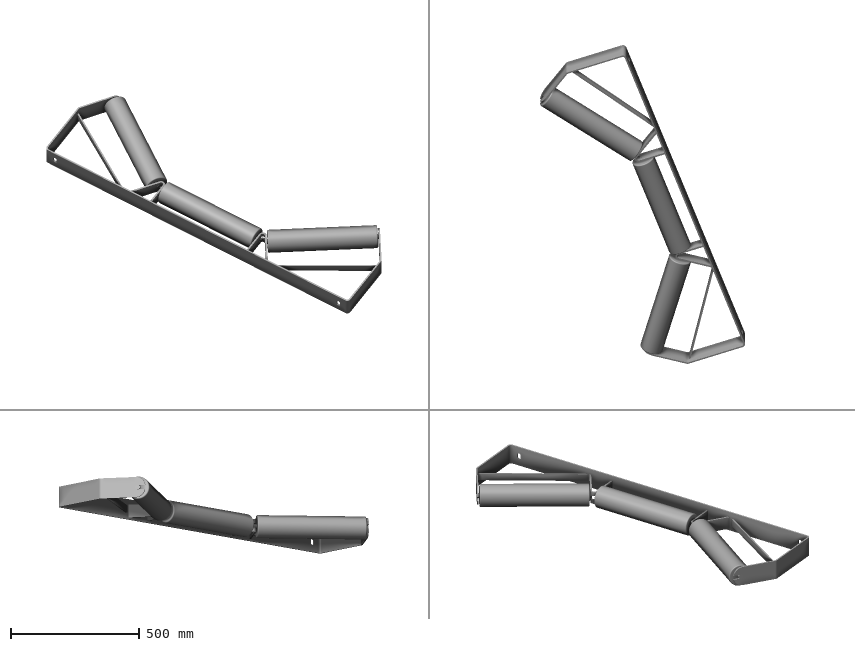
import cadquery as cq
import math

frame_length = 1400.0
strip_height = 80.0
strip_thickness = 6.0
bend_inner_radius = 8.0

bracket_height = 50.0
bracket_thickness = 7.0

trough_angle = 35.0
side_corner_y = 241.0
axle_distance_on_wall = 148.0
wall_past_axle = 31.0
bracket_foot_x = -322.0
bracket_leg_x = -223.0
middle_axle_y = 100.0

roller_diameter = 90.0
roller_length = 428.0
roller_edge_radius = 4.0
axle_diameter = 20.0
axle_flat_width = 17.0
middle_axle_z = -7.0
side_roller_z = -3.9
side_roller_tilt = 0.8
slot_overrun = 21.0
slot_reach = 84.0

mount_slot_x = 654.0
mount_slot_width = 17.0
mount_slot_length = 25.0

brace_thickness = 6.0
brace_height = 30.0
brace_z = 0.0
brace_top_y = 231.0
brace_foot_x = -339.0

half_thickness = strip_thickness / 2
side_x = -frame_length / 2 + half_thickness
base_y = half_thickness
side_inner_x = side_x + half_thickness
base_inner_y = strip_thickness

slope = math.radians(trough_angle)
axis_dir = cq.Vector(math.cos(slope), -math.sin(slope), 0)
wall_dir = cq.Vector(math.sin(slope), math.cos(slope), 0)

side_corner = cq.Vector(side_x, side_corner_y, 0)
wall_axle_point = side_corner + wall_dir * axle_distance_on_wall
wall_end = wall_axle_point + wall_dir * wall_past_axle
wall_round_center = wall_end - wall_dir * (strip_height / 2)

bracket_foot = cq.Vector(bracket_foot_x, base_inner_y, 0)
bracket_apex = bracket_foot + wall_dir * ((bracket_leg_x - bracket_foot_x) / math.sin(slope))

side_wall_gap = (bracket_foot - wall_axle_point).dot(axis_dir)
side_roller_center = wall_axle_point + axis_dir * (side_wall_gap / 2) + cq.Vector(0, 0, side_roller_z)
side_axle_length = side_wall_gap + bracket_thickness

middle_roller_center = cq.Vector(0, middle_axle_y, middle_axle_z)
middle_axle_length = -2 * bracket_leg_x + bracket_thickness


def mirrored(body):
    """Copy of a body on the other side of the YZ plane."""
    return body.mirror("YZ")


def bent_strip(corners, height, thickness):
    """Upright strip bent along a line of mid-plane corners."""
    path = cq.Wire.makePolygon(corners).fillet(bend_inner_radius + thickness / 2)
    section = cq.Plane(origin=corners[0], xDir=(0, 0, 1), normal=corners[1] - corners[0])
    return (cq.Workplane(section).rect(height, thickness)
            .sweep(cq.Workplane(obj=path)))


def cylinder_along_x(diameter, length):
    """Cylinder centred on the origin with its axis along X."""
    return cq.Workplane("ZY", origin=(length / 2, 0, 0)).circle(diameter / 2).extrude(length)


def flatted_axle(length):
    """Axle along X, with flats facing +Z and -Z."""
    round_bar = cylinder_along_x(axle_diameter, length)
    return round_bar.intersect(cq.Workplane().box(length, axle_diameter, axle_flat_width))


def axle_slot(axle_length):
    """Cutter for open slots that hold both ends of an axle, opening towards +Y."""
    length = axle_length + 2 * slot_overrun
    opening = cq.Workplane().box(length, slot_reach, axle_flat_width, centered=(True, False, True))
    return flatted_axle(length).union(opening)


def roller(axle_length):
    """Roller along X with an axle stub at each end."""
    shell = (cylinder_along_x(roller_diameter, roller_length)
             .edges().fillet(roller_edge_radius))
    return shell.union(flatted_axle(axle_length))


def on_left_side(body):
    """Move a body built along X into the place of the left roller."""
    return (body.rotate((0, 0, 0), (0, 1, 0), side_roller_tilt)
            .rotate((0, 0, 0), (0, 0, 1), -trough_angle)
            .translate(side_roller_center))


def base_volume():
    """Block filled by the base and the space behind it."""
    return cq.Workplane().box(frame_length, strip_height, strip_height).translate(
        (0, base_inner_y - strip_height / 2, 0))


left_slots = on_left_side(axle_slot(side_axle_length))
middle_slots = axle_slot(middle_axle_length).translate(middle_roller_center)


def wall_end_corners():
    """Cutter that leaves the left end wall with a full-round end."""
    wall_plane = cq.Plane(origin=wall_round_center, xDir=wall_dir, normal=axis_dir)
    end_block = cq.Workplane(wall_plane).box(strip_height, 2 * strip_height, 2 * strip_thickness,
                                             centered=(False, True, True))
    round_end = cq.Workplane(wall_plane).circle(strip_height / 2).extrude(strip_thickness, both=True)
    return end_block.cut(round_end)


def mount_slots():
    """Upright slots through the base near both ends."""
    return (cq.Workplane("XZ").pushPoints([(-mount_slot_x, 0), (mount_slot_x, 0)])
            .slot2D(mount_slot_length, mount_slot_width, 90)
            .extrude(2 * strip_thickness, both=True))


left_corners = [wall_end, side_corner, cq.Vector(side_x, base_y, 0)]
right_corners = [cq.Vector(-corner.x, corner.y, 0) for corner in reversed(left_corners)]
frame = bent_strip(left_corners + right_corners, strip_height, strip_thickness)
frame = frame.cut(wall_end_corners()).cut(mirrored(wall_end_corners()))
frame = frame.cut(mount_slots()).cut(left_slots).cut(mirrored(left_slots))


def left_bracket():
    """Bent strip standing on the base, slotted for the side and middle axles."""
    buried_foot = bracket_foot - wall_dir * bracket_thickness
    corners = [buried_foot, bracket_apex, cq.Vector(bracket_leg_x, base_inner_y, 0)]
    strip = bent_strip(corners, bracket_height, bracket_thickness).translate((0, 0, middle_axle_z))
    return strip.cut(base_volume()).cut(left_slots).cut(middle_slots)


def left_brace():
    """Flat bar with its ends cut to the faces that they meet."""
    top = cq.Vector(side_inner_x, brace_top_y, 0)
    foot = cq.Vector(brace_foot_x, base_inner_y, 0)
    angle = math.atan2(top.y - foot.y, foot.x - top.x)
    half_top_cut = cq.Vector(0, brace_thickness / math.cos(angle) / 2, 0)
    half_foot_cut = cq.Vector(brace_thickness / math.sin(angle) / 2, 0, 0)
    outline = [top - half_top_cut, foot - half_foot_cut, foot + half_foot_cut, top + half_top_cut]
    return (cq.Workplane().polyline([(point.x, point.y) for point in outline]).close()
            .extrude(brace_height / 2, both=True).translate((0, 0, brace_z)))


middle_roller = roller(middle_axle_length).translate(middle_roller_center)
left_roller = on_left_side(roller(side_axle_length))

bodies = [frame, middle_roller]
for left_body in (left_roller, left_bracket(), left_brace()):
    bodies.append(left_body)
    bodies.append(mirrored(left_body))

result = cq.Compound.makeCompound([body.solids().val() for body in bodies])